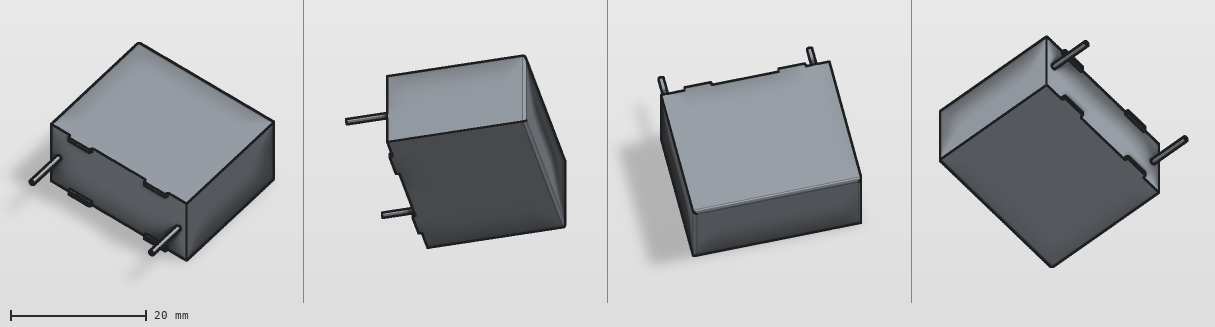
import cadquery as cq

CASE_WIDTH = 25.5
CASE_HEIGHT = 12.5
OVERALL_LENGTH = 27.5
LEAD_LENGTH = 6.5
CASE_DEPTH = OVERALL_LENGTH - LEAD_LENGTH
REAR_FILLET = 0.5

FOOT_PITCH = 14.25
FOOT_BASE_WIDTH = 4.24
FOOT_TIP_WIDTH = 3.95
FOOT_PROJECTION = 0.5
FOOT_THICKNESS = 0.72

LEAD_PITCH = 22.5
LEAD_DIAMETER = 0.82


def make_foot(x_center, z_bottom):
    """Foot that narrows in X from the terminal face to its tip."""
    return (
        cq.Workplane("XY", origin=(x_center, 0, z_bottom))
        .moveTo(-FOOT_BASE_WIDTH / 2, 0)
        .lineTo(-FOOT_TIP_WIDTH / 2, -FOOT_PROJECTION)
        .lineTo(FOOT_TIP_WIDTH / 2, -FOOT_PROJECTION)
        .lineTo(FOOT_BASE_WIDTH / 2, 0)
        .close()
        .extrude(FOOT_THICKNESS)
    )


def make_case():
    """Solid block with a rounded rear face and four feet at the front."""
    case = (
        cq.Workplane("XY")
        .box(CASE_WIDTH, CASE_DEPTH, CASE_HEIGHT, centered=(True, False, True))
        .faces(">Y")
        .edges()
        .fillet(REAR_FILLET)
    )
    lower_foot_bottom = -CASE_HEIGHT / 2
    upper_foot_bottom = CASE_HEIGHT / 2 - FOOT_THICKNESS
    for x_center in (-FOOT_PITCH / 2, FOOT_PITCH / 2):
        for z_bottom in (lower_foot_bottom, upper_foot_bottom):
            case = case.union(make_foot(x_center, z_bottom))
    return case


def make_lead(x_center):
    """Straight round wire standing on the terminal face, pointing toward -Y."""
    return (
        cq.Workplane("XZ", origin=(x_center, 0, 0))
        .circle(LEAD_DIAMETER / 2)
        .extrude(LEAD_LENGTH)
    )


case = make_case()
leads = [make_lead(x_center) for x_center in (-LEAD_PITCH / 2, LEAD_PITCH / 2)]

result = cq.Compound.makeCompound([case.val(), *[lead.val() for lead in leads]])